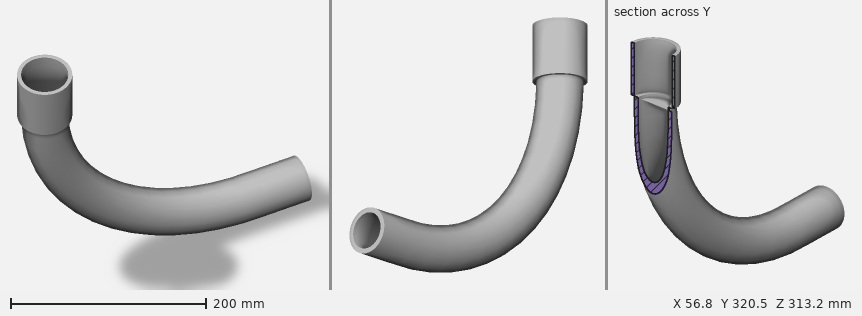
import cadquery as cq
import math

overall_length = 320.5

tube_diameter = 48.7
bore_diameter = 38.0
bend_rise = 224.5
straight_length = 49.7
neck_length = 4.2

socket_diameter = 56.8
socket_bore = 48.5
socket_length = 60.0

bend_reach = overall_length - straight_length - socket_diameter / 2

bend_radius = math.hypot(bend_reach, bend_rise) / math.sqrt(2)
bend_center_y = (bend_rise - bend_reach) / 2
bend_center_z = (bend_rise + bend_reach) / 2

socket_base_height = bend_rise + neck_length
socket_top_height = socket_base_height + socket_length


def upright_cylinder(diameter, bottom, top):
    """Cylinder on the socket axis between two heights."""
    return (
        cq.Workplane("XY", origin=(0, -bend_reach, bottom))
        .circle(diameter / 2)
        .extrude(top - bottom)
    )


def bend_rod(diameter):
    """Part of a torus, cut square to Y at the plain end and to Z at the neck."""
    ring = cq.Workplane(
        cq.Solid.makeTorus(
            bend_radius,
            diameter / 2,
            cq.Vector(0, bend_center_y, bend_center_z),
            cq.Vector(1, 0, 0),
        )
    )
    keep_size = 2 * bend_radius
    keep_box = (
        cq.Workplane("XY", origin=(0, 0, bend_rise))
        .box(keep_size, keep_size, keep_size, centered=(True, False, False))
        .translate((0, -keep_size, -keep_size))
    )
    return ring.intersect(keep_box)


def tube_rod(diameter):
    """Solid rod following the plain end, the bend and the neck."""
    straight = cq.Workplane("XZ").circle(diameter / 2).extrude(-straight_length)
    neck = upright_cylinder(diameter, bend_rise, socket_base_height)
    return straight.union(bend_rod(diameter)).union(neck)


socket = upright_cylinder(socket_diameter, socket_base_height, socket_top_height)
socket_hole = upright_cylinder(socket_bore, socket_base_height, socket_top_height)

result = tube_rod(tube_diameter).union(socket).cut(tube_rod(bore_diameter)).cut(socket_hole)